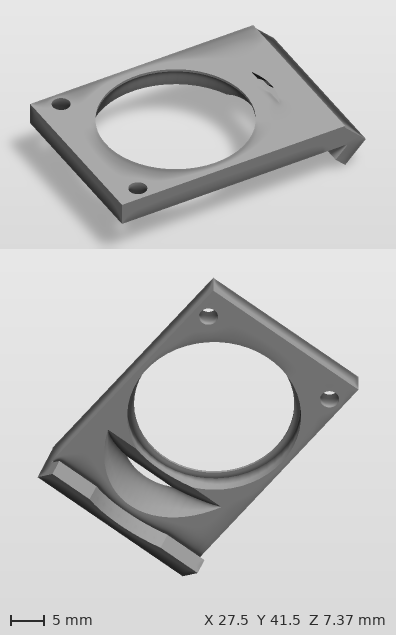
import cadquery as cq
import math

width = 27.5
length = 41.45
height = 7.37
thickness = 3.6

hook_reach = 3.52
hook_tip_run = 1.6
plate_end = length - hook_reach
corner_z = hook_reach - height

window_diameter = 23.7
window_y = 16.9
recess_diameter = 25.7
lip_thickness = 0.4
screw_diameter = 2.8
screw_spacing = 22.95
screw_y = 3.98

disc_diameter = 25.7
disc_floor_y = 32.2
disc_slit_depth = 1.05
disc_cut_length = 16.57


def make_body():
    """Extrude the plate and hook outline across the full width."""
    inner_corner_y = length - 2 * hook_tip_run
    inner_rise = -thickness - corner_z
    outline = [
        (0, 0),
        (plate_end, 0),
        (plate_end, corner_z + hook_reach),
        (length, corner_z),
        (plate_end, -height),
        (plate_end - hook_tip_run, -height + hook_tip_run),
        (inner_corner_y, corner_z),
        (inner_corner_y - inner_rise, -thickness),
        (0, -thickness),
    ]
    return cq.Workplane("YZ").polyline(outline).close().extrude(width / 2, both=True)


def vertical_hole(x, y, diameter, top=0):
    """Cylinder that cuts from the given depth below the plate top through its underside."""
    return cq.Workplane("XY").workplane(offset=-top).center(x, y).circle(diameter / 2).extrude(top - thickness)


def make_disc_pocket():
    """Cylinder running down and rearward at 45 degrees from its flat floor."""
    diagonal = math.sqrt(0.5)
    axis_distance = disc_diameter / 2 - disc_slit_depth * diagonal
    axis_offset = axis_distance * diagonal
    start = cq.Vector(0, disc_floor_y - axis_offset, -axis_offset)
    direction = cq.Vector(0, 1, -1)
    return cq.Solid.makeCylinder(disc_diameter / 2, disc_cut_length, start, direction)


result = make_body().cut(vertical_hole(0, window_y, window_diameter))
result = result.cut(vertical_hole(0, window_y, recess_diameter, top=lip_thickness))
for side in (-1, 1):
    result = result.cut(vertical_hole(side * screw_spacing / 2, screw_y, screw_diameter))
result = result.cut(make_disc_pocket())